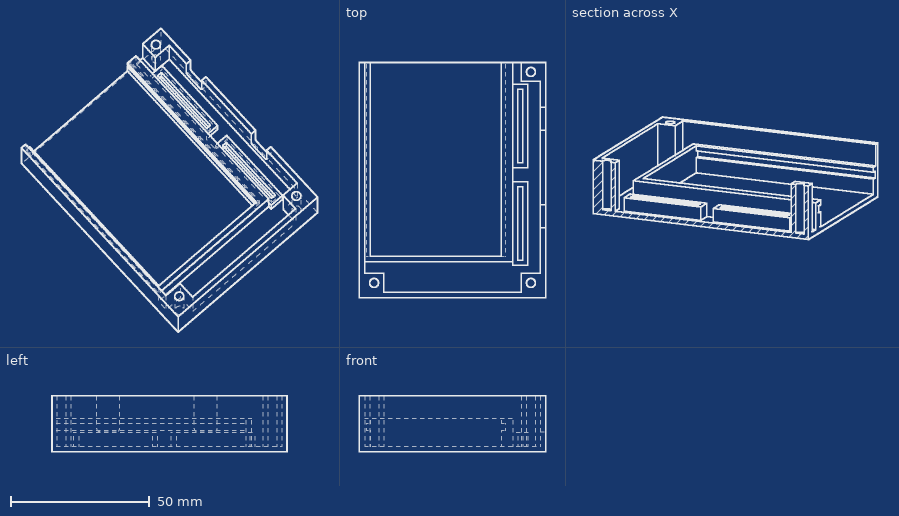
import cadquery as cq

length_x = 67.5
length_y = 85.0
height = 20.2
wall = 2.0

post_size = 8.8
back_post_length = post_size - wall
hole_inset = 5.4
back_hole_inset = hole_inset - wall
hole_diameter = 3.2
hole_depth = height - wall

guide_right = 55.4
guide_front = 13.0
guide_height = 12.15
card_bay_right = 51.25
card_bay_left = 2 * wall
card_bay_front = guide_front + wall
groove_bottom = 7.7
groove_height = 2.55
groove_depth = 1.5

socket_width = 5.5
socket_length = 30.3
socket_rim = 1.9
socket_height = 5.0
socket_front = 11.7
socket_pitch = 35.2
socket_count = 2

notch_width = 8.25
notch_bottom = 7.3
notch_radius = 1.2
notch_front = 25.4


def block(x_min, x_max, y_min, y_max, z_min, z_max):
    """Axis-aligned block given by its limits."""
    size = (x_max - x_min, y_max - y_min, z_max - z_min)
    return cq.Workplane("XY").box(*size, centered=False).translate((x_min, y_min, z_min))


def make_tray():
    """Floor with left, front and right walls; the back is open."""
    tray = block(0, length_x, 0, length_y, 0, height)
    return tray.cut(block(wall, length_x - wall, wall, length_y, wall, height))


def make_guide():
    """Card guide with a groove facing the bay on its left and right sides."""
    guide = block(wall, guide_right, guide_front, length_y, wall, guide_height)
    bay = block(card_bay_left, card_bay_right, card_bay_front, length_y, wall, guide_height)
    groove = block(
        card_bay_left - groove_depth, card_bay_right + groove_depth,
        card_bay_front, length_y,
        groove_bottom, groove_bottom + groove_height,
    )
    return guide.cut(bay).cut(groove)


def make_socket(y_front):
    """Rectangular frame around a slot that reaches down to the floor."""
    x_right = guide_right + socket_width
    y_back = y_front + socket_length
    top = wall + socket_height
    frame = block(guide_right, x_right, y_front, y_back, wall, top)
    slot = block(
        guide_right + socket_rim, x_right - socket_rim,
        y_front + socket_rim, y_back - socket_rim,
        wall, top,
    )
    return frame.cut(slot)


def make_notch(y_front):
    """Cutter for a wall notch with rounded bottom corners."""
    notch = block(length_x - wall, length_x, y_front, y_front + notch_width, notch_bottom, height)
    return notch.edges("|X and <Z").fillet(notch_radius)


result = make_tray().union(make_guide())

post_right = length_x - post_size
post_back = length_y - back_post_length
posts = (
    (0, 0, post_size),
    (post_right, 0, post_size),
    (post_right, post_back, back_post_length),
)
for x, y, depth in posts:
    result = result.union(block(x, x + post_size, y, y + depth, 0, height))

for index in range(socket_count):
    shift = index * socket_pitch
    result = result.union(make_socket(socket_front + shift))
    result = result.cut(make_notch(notch_front + shift))

hole_right = length_x - hole_inset
hole_back = length_y - back_hole_inset
for x, y in ((hole_inset, hole_inset), (hole_right, hole_inset), (hole_right, hole_back)):
    hole = cq.Workplane("XY").circle(hole_diameter / 2).extrude(hole_depth)
    result = result.cut(hole.translate((x, y, height - hole_depth)))